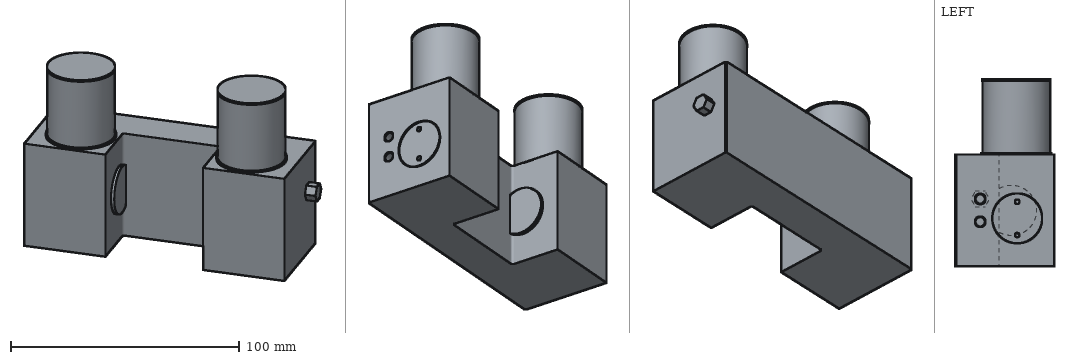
import cadquery as cq
import math


block_length = 120.2
block_depth = 43.5
block_height = 49.0
gap_width = 45.2
gap_depth = 24.3
gap_corner_radius = 1.0
rear_corner_chamfer = 0.5

pad_diameter = 22.0
pad_thickness = 1.5
pad_y = 18.8
pad_z = block_height / 2

cover_diameter = 22.0
cover_core_diameter = 21.8
cover_groove_depth = 0.5
cover_y = 16.3
cover_z = 21.0
spanner_hole_diameter = 2.0
spanner_hole_spacing = 14.6
spanner_hole_depth = 2.0
spanner_hole_tip_height = 0.6

port_diameter = 4.13
port_mouth_diameter = 4.7
port_depth = 6.0
port_y = 32.5
lower_port_z = 19.5
port_spacing = 10.0
upper_port_z = lower_port_z + port_spacing

overall_height = 82.0
cylinder_diameter = 29.8
cylinder_offset_x = 39.4
cylinder_y = 16.65
collar_diameter = 31.0
collar_height = 0.6
rim_diameter = 30.0
rim_height = 0.8

plug_flat_width = 7.0
plug_corner_diameter = plug_flat_width / math.cos(math.pi / 6)
plug_length = 4.9

left_face_x = -block_length / 2
right_face_x = block_length / 2


def side_plane(x, y, z):
    """Plane facing +X: local x is Y and local y is Z."""
    return cq.Plane(origin=(x, y, z), xDir=(0, 1, 0), normal=(1, 0, 0))


def make_fork():
    block = cq.Workplane("XY").box(
        block_length, block_depth, block_height, centered=(True, False, False)
    )
    block = block.edges("|Z and >Y").chamfer(rear_corner_chamfer)
    gap = cq.Workplane("XY").box(gap_width, gap_depth, block_height, centered=(True, False, False))
    gap = gap.edges("|Z and >Y").fillet(gap_corner_radius)
    return block.cut(gap)


def make_pad(start_x):
    return cq.Workplane(side_plane(start_x, pad_y, pad_z)).circle(pad_diameter / 2).extrude(pad_thickness)


def make_cover_groove():
    return (
        cq.Workplane(side_plane(left_face_x, cover_y, cover_z))
        .circle(cover_diameter / 2)
        .circle(cover_core_diameter / 2)
        .extrude(cover_groove_depth)
    )


def make_spanner_hole(z):
    """Blind hole with a conical drill tip, revolved about its own axis along X."""
    radius = spanner_hole_diameter / 2
    profile = [
        (0, 0),
        (0, radius),
        (spanner_hole_depth, radius),
        (spanner_hole_depth + spanner_hole_tip_height, 0),
    ]
    return (
        cq.Workplane("XZ", origin=(left_face_x, cover_y, z))
        .polyline(profile)
        .close()
        .revolve(360, (0, 0), (1, 0))
    )


def make_port(z):
    """Blind hole with a 45 degree countersunk mouth."""
    mouth_depth = (port_mouth_diameter - port_diameter) / 2
    plane = side_plane(left_face_x, port_y, z)
    hole = cq.Workplane(plane).circle(port_diameter / 2).extrude(port_depth)
    mouth = cq.Workplane(plane).circle(port_mouth_diameter / 2).extrude(mouth_depth, taper=45)
    return hole.union(mouth)


def make_housing():
    housing = make_fork()
    for start_x in (-gap_width / 2, gap_width / 2 - pad_thickness):
        housing = housing.union(make_pad(start_x))
    housing = housing.cut(make_cover_groove())
    for side in (-1, 1):
        housing = housing.cut(make_spanner_hole(cover_z + side * spanner_hole_spacing / 2))
    for z in (lower_port_z, upper_port_z):
        housing = housing.cut(make_port(z))
    return housing


def make_cylinder(x):
    """Upright cylinder with a low collar at its foot and a slightly wider rim on top."""
    body_height = overall_height - block_height - collar_height - rim_height
    return (
        cq.Workplane("XY", origin=(x, cylinder_y, block_height))
        .circle(collar_diameter / 2)
        .extrude(collar_height)
        .faces(">Z")
        .workplane()
        .circle(cylinder_diameter / 2)
        .extrude(body_height)
        .faces(">Z")
        .workplane()
        .circle(rim_diameter / 2)
        .extrude(rim_height)
    )


def make_plug():
    """Hexagon with two corners pointing along Y, level with the upper port."""
    plane = side_plane(right_face_x, port_y, upper_port_z)
    return cq.Workplane(plane).polygon(6, plug_corner_diameter).extrude(plug_length)


housing = make_housing()
cylinders = [make_cylinder(x) for x in (-cylinder_offset_x, cylinder_offset_x)]
plug = make_plug()

result = cq.Compound.makeCompound(
    [housing.val(), *[cylinder.val() for cylinder in cylinders], plug.val()]
)